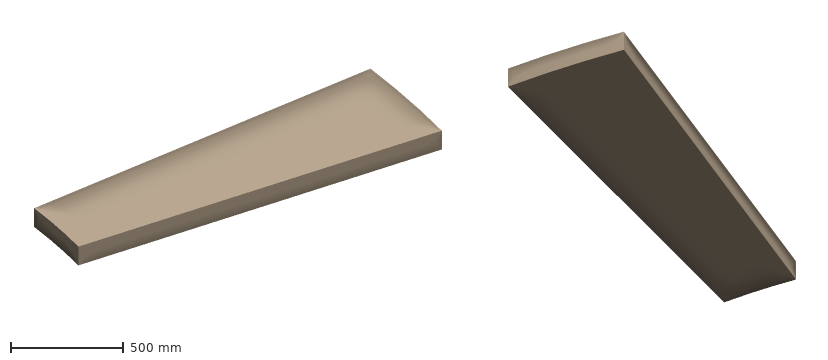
import cadquery as cq
import math

OUTER_RADIUS = 4900.63
INNER_RADIUS = 3037.07
THICKNESS = 101.6
MID_ANGLE = 17.5
SPAN_ANGLE = 6.85

NEAR_ANGLE = MID_ANGLE - SPAN_ANGLE / 2
FAR_ANGLE = MID_ANGLE + SPAN_ANGLE / 2


def ring_point(radius, angle):
    """Point at a radius, with its angle in degrees from +Y toward -X."""
    turn = math.radians(angle)
    return (-radius * math.sin(turn), radius * math.cos(turn))


def ring_sector():
    """Plate with concentric arc ends and straight radial sides."""
    return (
        cq.Workplane("XY")
        .moveTo(*ring_point(INNER_RADIUS, NEAR_ANGLE))
        .lineTo(*ring_point(OUTER_RADIUS, NEAR_ANGLE))
        .threePointArc(ring_point(OUTER_RADIUS, MID_ANGLE), ring_point(OUTER_RADIUS, FAR_ANGLE))
        .lineTo(*ring_point(INNER_RADIUS, FAR_ANGLE))
        .threePointArc(ring_point(INNER_RADIUS, MID_ANGLE), ring_point(INNER_RADIUS, NEAR_ANGLE))
        .close()
        .extrude(THICKNESS)
    )


result = ring_sector()